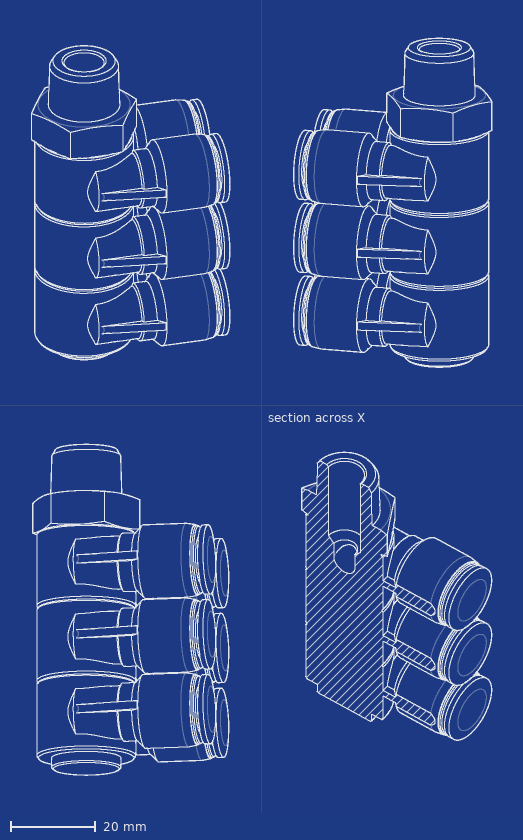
import cadquery as cq
import math

total_height = 76.7
port_end_y = 31.7
port_offset_x = 8.5
segment_count = 3
segment_pitch = 18.0
overlap = 0.15

body_radius = 23.4 / 2
body_base_z = 2.6
body_edge_width = 0.4
body_lower_edge_height = 0.6
body_upper_edge_height = 0.4
body_top_z = body_base_z + segment_count * segment_pitch

stub_radius = 8.2
stub_chamfer = 0.4

hex_across_flats = 22.3
hex_base_z = body_top_z
hex_top_z = 64.9
hex_face_radius = 10.9
hex_bevel_angle = 15.0

thread_tip_radius = 7.4
thread_top_radius = 16.3 / 2
thread_base_radius = 16.95 / 2
thread_chamfer_height = 1.4
bore_radius = 4.75
bore_mouth_radius = 5.2
passage_radius = 6.2 / 2
bore_cone_angle = 45.0
bore_depth = 23.0

sleeve_radius = 8.75
sleeve_rim_radius = 16.8 / 2
lip_radius = 16.3 / 2
lip_face_radius = 8.0
collar_radius = 6.9
shank_radius = 6.3
shank_end_y = -0.4
shank_cone_angle = 30.0
flange_radius = 8.2
flange_face_radius = 5.45
collet_neck_radius = 5.45
collet_root_radius = 5.7

sleeve_start_y = 15.6
shoulder_start_y = 13.7
collar_start_y = 10.5
shank_top_y = 10.1
sleeve_taper_y = 25.9
sleeve_rim_y = 28.0
lip_chamfer_y = 28.45
lip_face_y = 28.85
collet_line_y = 29.3
flange_back_y = 29.8
flange_edge_y = 31.15

web_thickness = 2.0
web_inset = 0.19
web_wide_half = port_offset_x + sleeve_radius - web_inset
web_narrow_half = port_offset_x + shank_radius - web_inset


def segment_base(index):
    """Height of the lower face of a body segment."""
    return body_base_z + index * segment_pitch


def port_height(index):
    """Height of the port axes of a body segment."""
    return segment_base(index) + segment_pitch / 2


def revolve_about_z(points):
    """Solid of revolution from (radius, z) points."""
    return cq.Workplane("XZ").polyline(points).close().revolve(360, (0, 0), (0, 1))


def make_segment(base_z):
    """Round body segment with both rims bevelled."""
    top_z = base_z + segment_pitch
    face_radius = body_radius - body_edge_width
    return revolve_about_z([
        (0, base_z),
        (face_radius, base_z),
        (body_radius, base_z + body_lower_edge_height),
        (body_radius, top_z - body_upper_edge_height),
        (face_radius, top_z),
        (0, top_z),
    ])


def make_stub():
    stub = cq.Workplane("XY").circle(stub_radius).extrude(body_base_z + overlap)
    return stub.faces("<Z").chamfer(stub_chamfer)


def make_hexagon():
    """Hexagon with corners on the Y axis, corners bevelled top and bottom."""
    corner_radius = hex_across_flats / math.sqrt(3)
    bevel_height = (corner_radius - hex_face_radius) * math.tan(math.radians(hex_bevel_angle))
    prism = (
        cq.Workplane("XY")
        .workplane(offset=hex_base_z)
        .polygon(6, 2 * corner_radius)
        .extrude(hex_top_z - hex_base_z)
        .rotate((0, 0, 0), (0, 0, 1), 90)
    )
    envelope = revolve_about_z([
        (0, hex_base_z),
        (hex_face_radius, hex_base_z),
        (corner_radius, hex_base_z + bevel_height),
        (corner_radius, hex_top_z - bevel_height),
        (hex_face_radius, hex_top_z),
        (0, hex_top_z),
    ])
    return prism.intersect(envelope)


def make_thread():
    return revolve_about_z([
        (0, hex_top_z - overlap),
        (thread_base_radius, hex_top_z - overlap),
        (thread_top_radius, total_height - thread_chamfer_height),
        (thread_tip_radius, total_height),
        (0, total_height),
    ])


def make_bore():
    """Bevelled bore, cone and passage that ends in a round cross passage."""
    mouth_depth = bore_mouth_radius - bore_radius
    cone_height = (bore_radius - passage_radius) / math.tan(math.radians(bore_cone_angle))
    cone_top_z = total_height - bore_depth
    cross_z = port_height(segment_count - 1)
    bore = revolve_about_z([
        (0, cross_z),
        (passage_radius, cross_z),
        (passage_radius, cone_top_z - cone_height),
        (bore_radius, cone_top_z),
        (bore_radius, total_height - mouth_depth),
        (bore_mouth_radius, total_height),
        (0, total_height),
    ])
    cross_passage = (
        cq.Workplane("YZ")
        .center(0, cross_z)
        .circle(passage_radius)
        .extrude(port_offset_x, both=True)
    )
    return bore.union(cross_passage)


def make_port():
    """Port turned about the Y axis, from its pointed inner end to the collet face."""
    tip_length = shank_radius * math.tan(math.radians(shank_cone_angle))
    outline = [
        (0, shank_end_y - tip_length),
        (shank_radius, shank_end_y),
        (shank_radius, shank_top_y),
        (collar_radius, collar_start_y),
        (collar_radius, shoulder_start_y),
        (sleeve_radius, sleeve_start_y),
        (sleeve_radius, sleeve_taper_y),
        (sleeve_rim_radius, sleeve_rim_y),
        (lip_radius, sleeve_rim_y),
        (lip_radius, lip_chamfer_y),
        (lip_face_radius, lip_face_y),
        (collet_neck_radius, lip_face_y),
        (collet_neck_radius, collet_line_y),
        (collet_root_radius, flange_back_y),
        (flange_radius, flange_back_y),
        (flange_radius, flange_edge_y),
        (flange_face_radius, port_end_y),
        (0, port_end_y),
    ]
    return cq.Workplane("XY").polyline(outline).close().revolve(360, (0, 0), (0, 1))


def make_web():
    """Flat tapered plate between and beside a pair of ports."""
    corners = [
        (-web_narrow_half, shank_end_y),
        (web_narrow_half, shank_end_y),
        (web_wide_half, sleeve_start_y),
        (-web_wide_half, sleeve_start_y),
    ]
    return cq.Workplane("XY").polyline(corners).close().extrude(web_thickness / 2, both=True)


def make_port_pair():
    port = make_port()
    left_port = port.translate((-port_offset_x, 0, 0))
    right_port = port.translate((port_offset_x, 0, 0))
    return left_port.union(right_port).union(make_web())


result = make_stub().union(make_hexagon()).union(make_thread())
port_pair = make_port_pair()
for index in range(segment_count):
    result = result.union(make_segment(segment_base(index)))
    result = result.union(port_pair.translate((0, 0, port_height(index))))
result = result.cut(make_bore())